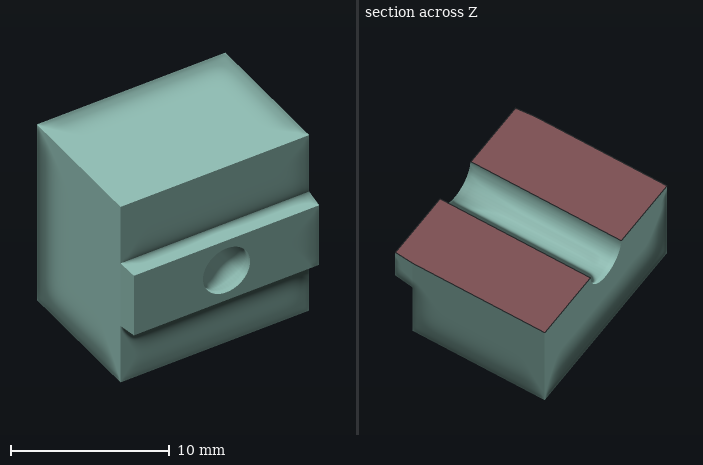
import cadquery as cq

side = 14.0
block_length = 10.0

key_width = 5.0
key_height = 1.4
key_draft = 5.0

bore_diameter = 3.5


def make_block():
    """Square block from X = 0 to its +X face."""
    return cq.Workplane("YZ").rect(side, side).extrude(block_length)


def make_key():
    """Full-width key that narrows away from the block."""
    base = cq.Workplane("YZ", origin=(block_length, 0, 0)).rect(side, key_width)
    return base.extrude(key_height, taper=key_draft)


def make_bore():
    """Cylinder that passes through the block and the key."""
    return cq.Workplane("YZ").circle(bore_diameter / 2).extrude(block_length + key_height)


result = make_block().union(make_key()).cut(make_bore())